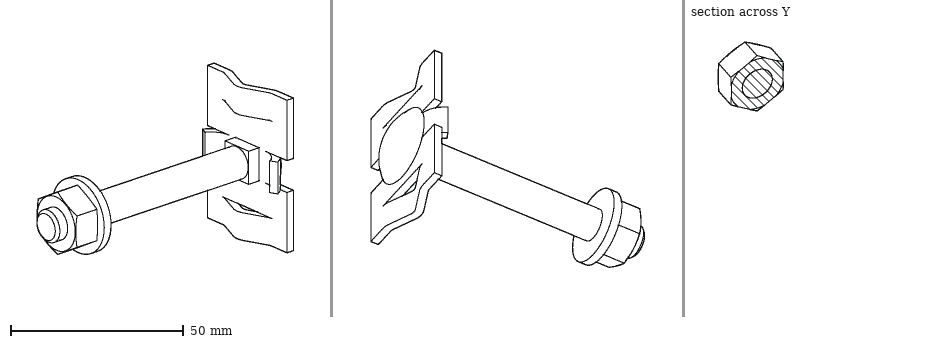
import cadquery as cq
import math


PLATE_WIDTH = 35.0
PLATE_HEIGHT = 48.0
SHEET = 2.6
NECK_WIDTH = 10.4

V_STRIP_HEIGHT = 8.7
V_HALF_WIDTH = 10.85
V_ANGLE = 23.2
V_INNER_RADIUS = 3.1

TAB_HEIGHT = 10.0
TAB_START = 8.1
TAB_INNER_RADIUS = 6.8
TAB_BEND_ANGLE = 64.0

TOTAL_LENGTH = 85.4
HEAD_HEIGHT = 5.3
HEAD_RADIUS = 11.95
NECK_LENGTH = 6.6
SHANK_DIAMETER = 10.0
TIP_CHAMFER = 0.9
TIP_Y = HEAD_HEIGHT - TOTAL_LENGTH

THREAD_STICKOUT = 3.9
NUT_HEIGHT = 8.45
NUT_FLATS = 17.1
NUT_FACE_DIAMETER = 16.7
NUT_END_CHAMFER = 0.5
NUT_SEAT_CHAMFER = 0.25
WASHER_THICKNESS = 2.65
WASHER_DIAMETER = 23.0
NUT_END_Y = TIP_Y + THREAD_STICKOUT
NUT_SEAT_Y = NUT_END_Y + NUT_HEIGHT


def centred_box(width, depth, height, y_rear):
    """Box centred on X and Z, extending toward -Y from y_rear."""
    return cq.Workplane("XY").box(width, depth, height).translate((0, y_rear - depth / 2, 0))


def cylinder(diameter, y_rear, length):
    """Cylinder on the Y axis, extending toward -Y from y_rear."""
    return cq.Workplane("XZ", origin=(0, y_rear, 0)).circle(diameter / 2).extrude(length)


def polar(centre, radius, angle):
    """Point on a circle, at an angle in degrees counterclockwise from +X."""
    turn = math.radians(angle)
    return (centre[0] + radius * math.cos(turn), centre[1] + radius * math.sin(turn))


def mirrored(point):
    return (-point[0], point[1])


def make_v_strip():
    """Sheet strip bent into a rounded V toward -Y, starting at Z = 0."""
    outer_radius = V_INNER_RADIUS + SHEET
    radii_sum = V_INNER_RADIUS + outer_radius
    angle = math.radians(V_ANGLE)
    shoulder = (V_HALF_WIDTH, -SHEET - V_INNER_RADIUS)
    flank_run = V_HALF_WIDTH - radii_sum * math.sin(angle)
    drop = radii_sum * (1 - math.cos(angle)) + flank_run * math.tan(angle)
    apex = (0, outer_radius - SHEET - drop)

    def bend_points(shoulder_radius, apex_radius):
        """Shoulder start, middle and end, then the apex bend start and bottom."""
        return (
            polar(shoulder, shoulder_radius, 90),
            polar(shoulder, shoulder_radius, 90 + V_ANGLE / 2),
            polar(shoulder, shoulder_radius, 90 + V_ANGLE),
            polar(apex, apex_radius, V_ANGLE - 90),
            polar(apex, apex_radius, -90),
        )

    start, middle, end, apex_start, bottom = bend_points(V_INNER_RADIUS, outer_radius)
    r_start, r_middle, r_end, r_apex_start, r_bottom = bend_points(outer_radius, V_INNER_RADIUS)
    return (
        cq.Workplane("XY")
        .moveTo(*start)
        .threePointArc(middle, end)
        .lineTo(*apex_start)
        .threePointArc(bottom, mirrored(apex_start))
        .lineTo(*mirrored(end))
        .threePointArc(mirrored(middle), mirrored(start))
        .lineTo(*mirrored(r_start))
        .threePointArc(mirrored(r_middle), mirrored(r_end))
        .lineTo(*mirrored(r_apex_start))
        .threePointArc(r_bottom, r_apex_start)
        .lineTo(*r_end)
        .threePointArc(r_middle, r_start)
        .close()
        .extrude(V_STRIP_HEIGHT)
    )


def make_tab():
    """Curled tab on the +X side, bent toward -Y."""
    centre = (TAB_START, -SHEET - TAB_INNER_RADIUS)
    outer_radius = TAB_INNER_RADIUS + SHEET
    tip_angle = 90 - TAB_BEND_ANGLE
    middle_angle = 90 - TAB_BEND_ANGLE / 2
    return (
        cq.Workplane("XY")
        .moveTo(TAB_START, 0)
        .threePointArc(polar(centre, outer_radius, middle_angle), polar(centre, outer_radius, tip_angle))
        .lineTo(*polar(centre, TAB_INNER_RADIUS, tip_angle))
        .threePointArc(polar(centre, TAB_INNER_RADIUS, middle_angle), (TAB_START, -SHEET))
        .close()
        .extrude(TAB_HEIGHT / 2, both=True)
    )


def make_clamp_plate():
    plate = centred_box(PLATE_WIDTH, SHEET, PLATE_HEIGHT, 0)

    strip = make_v_strip()
    strip_window = centred_box(2 * V_HALF_WIDTH, SHEET, V_STRIP_HEIGHT, 0)
    strip_base = PLATE_HEIGHT / 2 - V_STRIP_HEIGHT
    window_centre = strip_base + V_STRIP_HEIGHT / 2
    for window_z, strip_z in ((window_centre, strip_base), (-window_centre, -PLATE_HEIGHT / 2)):
        plate = plate.cut(strip_window.translate((0, 0, window_z)))
        plate = plate.union(strip.translate((0, 0, strip_z)))

    tab = make_tab()
    notch_depth = PLATE_WIDTH / 2 - TAB_START
    notch = centred_box(notch_depth, SHEET, TAB_HEIGHT, 0)
    notch_x = TAB_START + notch_depth / 2
    for notch_centre, side_tab in ((notch_x, tab), (-notch_x, tab.mirror("YZ"))):
        plate = plate.cut(notch.translate((notch_centre, 0, 0)))
        plate = plate.union(side_tab)

    return plate.cut(centred_box(NECK_WIDTH, SHEET, NECK_WIDTH, 0))


def make_bolt():
    dome_radius = (HEAD_RADIUS**2 + HEAD_HEIGHT**2) / (2 * HEAD_HEIGHT)
    dome_centre = (0, HEAD_HEIGHT - dome_radius)
    rim_angle = math.degrees(math.acos(HEAD_RADIUS / dome_radius))
    head = (
        cq.Workplane("XY")
        .moveTo(0, 0)
        .lineTo(HEAD_RADIUS, 0)
        .threePointArc(polar(dome_centre, dome_radius, (rim_angle + 90) / 2), (0, HEAD_HEIGHT))
        .close()
        .revolve(360, (0, 0, 0), (0, 1, 0))
    )
    neck = centred_box(NECK_WIDTH, NECK_LENGTH, NECK_WIDTH, 0)
    shank = cylinder(SHANK_DIAMETER, 0, -TIP_Y).faces("<Y").chamfer(TIP_CHAMFER)
    return head.union(neck).union(shank)


def make_washer():
    washer = cylinder(WASHER_DIAMETER, NUT_SEAT_Y + WASHER_THICKNESS, WASHER_THICKNESS)
    return washer.cut(cylinder(SHANK_DIAMETER, 0, -TIP_Y))


def make_nut():
    """Hexagon nut with corners at +Z and -Z and conical chamfers on both ends."""
    corner_radius = NUT_FLATS / math.sqrt(3)
    hexagon = (
        cq.Workplane("XZ", origin=(0, NUT_SEAT_Y, 0))
        .polygon(6, 2 * corner_radius)
        .extrude(NUT_HEIGHT)
        .rotate((0, 0, 0), (0, 1, 0), 90)
    )
    face_radius = NUT_FACE_DIAMETER / 2
    chamfer_envelope = (
        cq.Workplane("XY")
        .polyline([
            (0, NUT_END_Y),
            (face_radius, NUT_END_Y),
            (corner_radius, NUT_END_Y + NUT_END_CHAMFER),
            (corner_radius, NUT_SEAT_Y - NUT_SEAT_CHAMFER),
            (face_radius, NUT_SEAT_Y),
            (0, NUT_SEAT_Y),
        ])
        .close()
        .revolve(360, (0, 0, 0), (0, 1, 0))
    )
    return hexagon.intersect(chamfer_envelope).cut(cylinder(SHANK_DIAMETER, 0, -TIP_Y))


clamp_plate = make_clamp_plate()
bolt = make_bolt()
washer = make_washer()
nut = make_nut()

result = cq.Compound.makeCompound([clamp_plate.val(), bolt.val(), washer.val(), nut.val()])